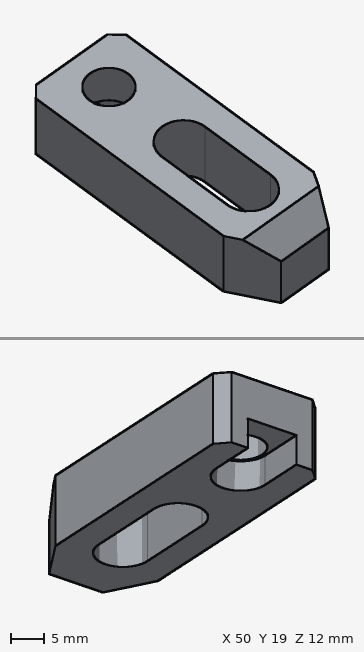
import cadquery as cq
import math

length = 50.0
width = 19.0
height = 12.0
rear_chamfer = 2.0

nose_angle = math.radians(30)
nose_width = 10.0
nose_drop = 3.0
side_taper_length = (width - nose_width) / 2 / math.tan(nose_angle)
top_bevel_length = nose_drop / math.tan(nose_angle)

hole_diameter = 8.0
hole_x = 8.0
slot_start = 19.5
slot_end = 42.5
slot_width = 9.0
channel_width = slot_width
channel_height = 5.0


def make_body():
    """Plate with chamfered rear corners and a nose tapered in plan."""
    half_width = width / 2
    return (
        cq.Workplane("XY")
        .moveTo(0, 0)
        .lineTo(0, half_width - rear_chamfer)
        .lineTo(rear_chamfer, half_width)
        .lineTo(length - side_taper_length, half_width)
        .lineTo(length, nose_width / 2)
        .lineTo(length, 0)
        .mirrorX()
        .extrude(height)
    )


def make_top_bevel():
    """Wedge removed from the top of the nose."""
    return (
        cq.Workplane("XZ")
        .moveTo(length - top_bevel_length, height)
        .lineTo(length, height)
        .lineTo(length, height - nose_drop)
        .close()
        .extrude(width / 2, both=True)
    )


def make_hole():
    return cq.Workplane("XY").center(hole_x, 0).circle(hole_diameter / 2).extrude(height)


def make_slot():
    """Round-ended slot through the full height."""
    slot_centre = (slot_start + slot_end) / 2
    slot_length = slot_end - slot_start
    return cq.Workplane("XY").center(slot_centre, 0).slot2D(slot_length, slot_width).extrude(height)


def make_channel():
    """Underside channel from the rear face, with a round end concentric with the hole."""
    half_width = channel_width / 2
    return (
        cq.Workplane("XY")
        .moveTo(0, -half_width)
        .lineTo(hole_x, -half_width)
        .radiusArc((hole_x + half_width, 0), -half_width)
        .radiusArc((hole_x, half_width), -half_width)
        .lineTo(0, half_width)
        .close()
        .extrude(channel_height)
    )


result = (
    make_body()
    .cut(make_top_bevel())
    .cut(make_hole())
    .cut(make_slot())
    .cut(make_channel())
)